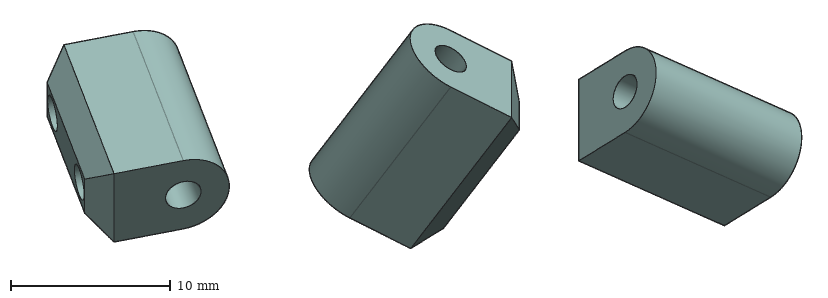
import cadquery as cq

length = 12.0
depth = 9.0
height = 6.0
bevel = 1.5
hole_diameter = 2.3
hole_spacing = 6.4

back_radius = height / 2
front_y = back_radius - depth


def rounded_block():
    """Block with a half-round back and a flat front, extruded along X."""
    return (
        cq.Workplane("YZ", origin=(-length / 2, 0, 0))
        .moveTo(front_y, -back_radius)
        .lineTo(0, -back_radius)
        .threePointArc((back_radius, 0), (0, back_radius))
        .lineTo(front_y, back_radius)
        .close()
        .extrude(length)
    )


def cross_hole():
    """Through hole along X, concentric with the rounded back."""
    return (
        cq.Workplane("YZ", origin=(-length / 2, 0, 0))
        .circle(hole_diameter / 2)
        .extrude(length)
    )


def front_holes():
    """Pair of holes running from the front face to the cross hole axis."""
    return (
        cq.Workplane("XZ", origin=(0, 0, 0))
        .pushPoints([(-hole_spacing / 2, 0), (hole_spacing / 2, 0)])
        .circle(hole_diameter / 2)
        .extrude(-front_y)
    )


body = rounded_block().faces("<Y").edges().chamfer(bevel)
result = body.cut(cross_hole()).cut(front_holes())